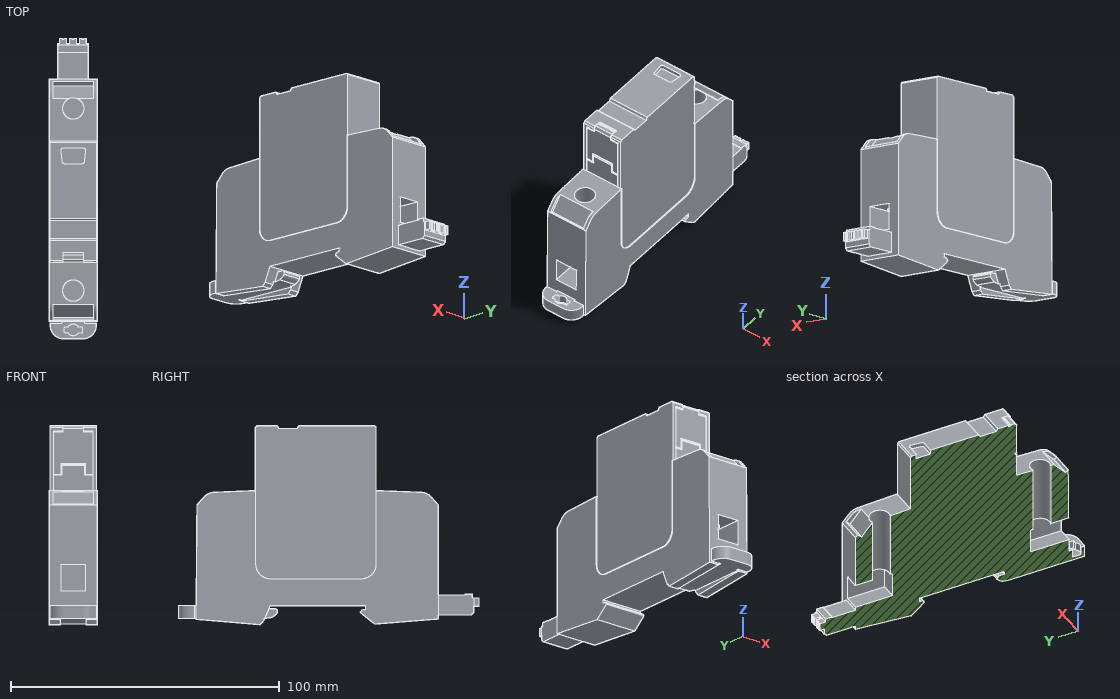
import cadquery as cq
import math

TOTAL_LENGTH = 111.9
TOTAL_HEIGHT = 74.2
BODY_WIDTH = 18.0
SEAT_DEPTH = 0.3
MODULE_WIDTH = BODY_WIDTH - 2 * SEAT_DEPTH

BODY_FRONT = 6.8
BODY_FRONT_FOOT = 6.5
BODY_BACK = 96.8
SHOULDER_HEIGHT = 44.7
RIDGE_HEIGHT = 50.0
TOP_SLOPE = 0.04
SHOULDER_ANGLE = math.radians(48)
SHOULDER_RADIUS = 5.4
RAIL_HEIGHT = 7.0
RAIL_FRONT = 34.1
RAIL_BACK = 69.6

MODULE_FRONT = 28.5
SEAT_FRONT = 28.8
MODULE_BACK = 73.7
MODULE_BOTTOM = 17.1
MODULE_CORNER_RADIUS = 5.5
MODULE_FRONT_CHAMFER = 0.7
MODULE_BACK_CHAMFER = 0.6
GRIP_FRONT = 36.7
GRIP_BACK = 44.9
GRIP_DEPTH = 1.0
GRIP_SLOPE = 0.7

WINDOW_FRONT = 65.3
WINDOW_BACK = 71.1
WINDOW_FRONT_WIDTH = 8.1
WINDOW_BACK_WIDTH = 9.5
WINDOW_RADIUS = 0.8
WINDOW_DEPTH = 1.8

PANEL_GAP = 0.3
PANEL_INSET = 0.1
GROOVE_DEPTH = 0.7
PANEL_WIDTH = 14.5
PANEL_TOP = 72.2
PANEL_BOTTOM = 49.3
TAB_WIDTH = 7.7
TAB_CHAMFER_Y = 0.9
TAB_CHAMFER_Z = 1.0
TAB_LOWERING = 0.1
TAB_BACK = 31.2
NOTCH_BACK = 32.1
NOTCH_DEPTH = 0.6
LATCH_SHOULDER = 55.7
LATCH_TOP = 59.8
LATCH_WIDTH = 8.5
LATCH_CHAMFER = 0.5

SCREW_DIAMETER = 8.0
FRONT_SCREW_Y = 18.0
BACK_SCREW_Y = 85.9
WIRE_WIDTH = 9.3
WIRE_BOTTOM = 12.5
WIRE_HEIGHT = 9.9
LABEL_WIDTH = 15.2
FRONT_LABEL_MARGIN = 0.3
FRONT_LABEL_DEPTH = 1.3
BACK_LABEL_MARGIN = 1.3
BACK_LABEL_DEPTH = 2.2

CLIP_TOP = 7.3
CLIP_BOTTOM = 2.4
CLIP_WIDTH = 8.4
CLIP_SLOT_WIDTH = 9.6
EAR_WIDTH = 17.2
EAR_BACK = 5.9
EAR_RADIUS = 5.0
EAR_HOLE_Y = 3.4
EAR_HOLE_RADIUS = 2.18
EAR_SLOT_LENGTH = 6.7
EAR_SLOT_WIDTH = 2.4
EAR_SLOT_CHAMFER = 0.5
EAR_HOLE_DEPTH = 3.4

PLUG_WIDTH = 11.4
PLUG_CENTRE = -0.1
PLUG_BACK = 110.0
PLUG_LIP_BACK = 109.5
PLUG_LIP_FRONT = 106.7
PLUG_TOP = 11.2
PLUG_LIP_TOP = 11.4
PLUG_SHELF = 10.1
PLUG_BOTTOM = 3.6
PLUG_BOTTOM_CHAMFER = 1.0
PLUG_OVERLAP = 1.1
TOOTH_COUNT = 3
TOOTH_PITCH = 3.7
TOOTH_WIDTH = 2.7
TOOTH_TOP = 10.1
TOOTH_BOTTOM = 6.8
TOOTH_NOTCH_WIDTH = 0.7
TOOTH_NOTCH_DEPTH = 0.2


def side_profile(points, width):
    """Extrude a closed (Y, Z) outline, centred on the mid-plane, to the given width in X."""
    return cq.Workplane("YZ").polyline(points).close().extrude(width / 2, both=True)


def box(x_range, y_range, z_range):
    """Block spanning the given (low, high) ranges."""
    size = [high - low for low, high in (x_range, y_range, z_range)]
    corner = cq.Vector(x_range[0], y_range[0], z_range[0])
    return cq.Workplane(cq.Solid.makeBox(*size, pnt=corner))


def centred(width):
    return (-width / 2, width / 2)


def shoulder_corner():
    """(Run along Y, rise) from a shoulder's foot to where it meets the sloping top."""
    top_height = RIDGE_HEIGHT - (MODULE_FRONT - BODY_FRONT) * TOP_SLOPE
    run = (top_height - SHOULDER_HEIGHT) / (math.tan(SHOULDER_ANGLE) - TOP_SLOPE)
    return run, run * math.tan(SHOULDER_ANGLE)


def make_body():
    run, rise = shoulder_corner()
    front_shoulder = (BODY_FRONT + run, SHOULDER_HEIGHT + rise)
    back_shoulder = (BODY_BACK - run, SHOULDER_HEIGHT + rise)
    outline = [
        (BODY_FRONT, SHOULDER_HEIGHT),
        front_shoulder,
        (MODULE_FRONT, RIDGE_HEIGHT),
        (MODULE_BACK, RIDGE_HEIGHT),
        back_shoulder,
        (BODY_BACK, SHOULDER_HEIGHT),
        (BODY_BACK, 2.1),
        (73.1, 0.2),
        (68.2, 4.1),
        (67.6, 4.7),
        (68.2, 5.5),
        (RAIL_BACK, 5.8),
        (RAIL_BACK, RAIL_HEIGHT),
        (RAIL_FRONT, RAIL_HEIGHT),
        (31.7, 1.3),
        (30.5, 0.0),
        (BODY_FRONT_FOOT, 2.0),
    ]
    body = side_profile(outline, BODY_WIDTH)
    for y, z in (front_shoulder, back_shoulder):
        nearby = cq.selectors.NearestToPointSelector((0, y, z))
        body = body.edges("|X").edges(nearby).fillet(SHOULDER_RADIUS)
    return body


def module_blank(width, front):
    """Module block with its two rounded lower corners."""
    block = box(centred(width), (front, MODULE_BACK), (MODULE_BOTTOM, TOTAL_HEIGHT))
    return block.edges("|X and <Z").fillet(MODULE_CORNER_RADIUS)


def make_module():
    module = module_blank(MODULE_WIDTH, MODULE_FRONT)
    module = module.edges("|X and >Z and <Y").chamfer(MODULE_FRONT_CHAMFER)
    module = module.edges("|X and >Z and >Y").chamfer(MODULE_BACK_CHAMFER)
    grip_floor = TOTAL_HEIGHT - GRIP_DEPTH
    grip = side_profile(
        [
            (GRIP_FRONT, TOTAL_HEIGHT),
            (GRIP_FRONT + GRIP_SLOPE, grip_floor),
            (GRIP_BACK - GRIP_SLOPE, grip_floor),
            (GRIP_BACK, TOTAL_HEIGHT),
        ],
        MODULE_WIDTH,
    )
    window = (
        cq.Workplane("XY", origin=(0, 0, TOTAL_HEIGHT))
        .polyline(
            [
                (-WINDOW_FRONT_WIDTH / 2, WINDOW_FRONT),
                (WINDOW_FRONT_WIDTH / 2, WINDOW_FRONT),
                (WINDOW_BACK_WIDTH / 2, WINDOW_BACK),
                (-WINDOW_BACK_WIDTH / 2, WINDOW_BACK),
            ]
        )
        .close()
        .extrude(-WINDOW_DEPTH)
        .edges("|Z")
        .fillet(WINDOW_RADIUS)
    )
    return module.cut(grip).cut(window)


def add_front_panel(module):
    """Cover and latch, set off by narrow grooves, with the cover's tab reaching the top."""
    groove_floor = MODULE_FRONT + GROOVE_DEPTH
    panel_face = MODULE_FRONT + PANEL_INSET
    opening = (MODULE_FRONT, groove_floor)
    depth = (panel_face, groove_floor)
    panel_x = centred(PANEL_WIDTH)
    tab_x = centred(TAB_WIDTH)
    recess = box(panel_x, opening, (PANEL_BOTTOM, PANEL_TOP))
    tab_recess = box(tab_x, opening, (PANEL_BOTTOM, TOTAL_HEIGHT))
    notch = box(tab_x, (MODULE_FRONT, NOTCH_BACK), (TOTAL_HEIGHT - NOTCH_DEPTH, TOTAL_HEIGHT))

    foot = box(panel_x, depth, (PANEL_BOTTOM, LATCH_SHOULDER))
    tongue = box(centred(LATCH_WIDTH), depth, (PANEL_BOTTOM, LATCH_TOP))
    tongue = tongue.edges("|X and >Z and <Y").chamfer(LATCH_CHAMFER)
    latch = foot.union(tongue)

    cover = box(panel_x, depth, (LATCH_SHOULDER + PANEL_GAP, PANEL_TOP - PANEL_GAP))
    clearance = centred(LATCH_WIDTH + 2 * PANEL_GAP)
    cover = cover.cut(box(clearance, depth, (PANEL_BOTTOM, LATCH_TOP + PANEL_GAP)))

    tab_bottom = LATCH_TOP + 2 * PANEL_GAP
    tab_top = TOTAL_HEIGHT - TAB_LOWERING
    tab = side_profile(
        [
            (panel_face, tab_bottom),
            (panel_face, tab_top - TAB_CHAMFER_Z),
            (panel_face + TAB_CHAMFER_Y, tab_top),
            (TAB_BACK, tab_top),
            (TAB_BACK, tab_bottom),
        ],
        TAB_WIDTH,
    )
    return module.cut(recess).cut(tab_recess).cut(notch).union(latch).union(cover).union(tab)


def label_recess(foot_y, inward, margin, depth):
    """Recess along a shoulder, open towards the top; inward is +1 or -1 along Y."""

    def on_shoulder(along, below):
        """Point at a distance up the shoulder's face from its foot, and a depth beneath the face."""
        across = along * math.cos(SHOULDER_ANGLE) + below * math.sin(SHOULDER_ANGLE)
        up = along * math.sin(SHOULDER_ANGLE) - below * math.cos(SHOULDER_ANGLE)
        return (foot_y + inward * across, SHOULDER_HEIGHT + up)

    far_end = margin + 2 * math.hypot(*shoulder_corner())
    outline = [
        on_shoulder(margin, -depth),
        on_shoulder(margin, depth),
        on_shoulder(far_end, depth),
        on_shoulder(far_end, -depth),
    ]
    return side_profile(outline, LABEL_WIDTH)


def terminal(screw_y, face_y):
    """Screw hole from above, running into a square wire pocket open at the end face."""
    pocket_end = screw_y + math.copysign(WIRE_WIDTH / 2, screw_y - face_y)
    pocket = box(
        centred(WIRE_WIDTH), sorted((pocket_end, face_y)), (WIRE_BOTTOM, WIRE_BOTTOM + WIRE_HEIGHT)
    )
    shaft_bottom = WIRE_BOTTOM + WIRE_HEIGHT / 2
    shaft = (
        cq.Workplane("XY", origin=(0, screw_y, shaft_bottom))
        .circle(SCREW_DIAMETER / 2)
        .extrude(RIDGE_HEIGHT - shaft_bottom)
    )
    return pocket.union(shaft)


def make_clip():
    """Sliding rail clip: hook under the front foot and a pull ear in front of the body."""
    hook = side_profile(
        [
            (EAR_HOLE_Y, CLIP_BOTTOM),
            (EAR_HOLE_Y, CLIP_TOP),
            (33.6, CLIP_TOP),
            (33.9, 6.0),
            (36.3, 6.0),
            (36.8, 5.5),
            (36.8, 4.4),
            (35.9, 3.5),
            (34.7, 2.7),
            (32.1, CLIP_BOTTOM),
        ],
        CLIP_WIDTH,
    )
    ear = box(centred(EAR_WIDTH), (0, EAR_BACK), (CLIP_BOTTOM, CLIP_TOP))
    ear = ear.edges("|Z and <Y").fillet(EAR_RADIUS)
    slot = box(
        centred(EAR_SLOT_LENGTH),
        (EAR_HOLE_Y - EAR_SLOT_WIDTH / 2, EAR_HOLE_Y + EAR_SLOT_WIDTH / 2),
        (CLIP_TOP - EAR_HOLE_DEPTH, CLIP_TOP),
    )
    slot = slot.edges("|Z and <X").chamfer(EAR_SLOT_CHAMFER)
    hole = (
        cq.Workplane("XY", origin=(0, EAR_HOLE_Y, CLIP_TOP))
        .circle(EAR_HOLE_RADIUS)
        .extrude(-EAR_HOLE_DEPTH)
    )
    return hook.union(ear).cut(slot).cut(hole)


def make_plug():
    """Signalling plug with a raised lip on top and notched teeth on its back."""
    front = BODY_BACK - PLUG_OVERLAP
    plug = side_profile(
        [
            (front, PLUG_BOTTOM),
            (front, PLUG_TOP),
            (PLUG_LIP_FRONT, PLUG_TOP),
            (PLUG_LIP_FRONT, PLUG_LIP_TOP),
            (PLUG_LIP_BACK, PLUG_LIP_TOP),
            (PLUG_LIP_BACK, PLUG_SHELF),
            (PLUG_BACK, PLUG_SHELF),
            (PLUG_BACK, PLUG_BOTTOM + PLUG_BOTTOM_CHAMFER),
            (PLUG_BACK - PLUG_BOTTOM_CHAMFER, PLUG_BOTTOM),
        ],
        PLUG_WIDTH,
    )
    height = (TOOTH_BOTTOM, TOOTH_TOP)
    for index in range(TOOTH_COUNT):
        x = (index - (TOOTH_COUNT - 1) / 2) * TOOTH_PITCH
        tooth = box(
            (x - TOOTH_WIDTH / 2, x + TOOTH_WIDTH / 2), (PLUG_LIP_FRONT, TOTAL_LENGTH), height
        )
        notch = box(
            (x - TOOTH_NOTCH_WIDTH / 2, x + TOOTH_NOTCH_WIDTH / 2),
            (TOTAL_LENGTH - TOOTH_NOTCH_DEPTH, TOTAL_LENGTH),
            height,
        )
        plug = plug.union(tooth.cut(notch))
    return plug.translate((PLUG_CENTRE, 0, 0))


module_space = module_blank(BODY_WIDTH, SEAT_FRONT)
clip_slot = box(centred(CLIP_SLOT_WIDTH), (0, RAIL_FRONT), (0, CLIP_BOTTOM))
base = make_body().cut(module_space).cut(clip_slot)
base = base.cut(label_recess(BODY_FRONT, 1, FRONT_LABEL_MARGIN, FRONT_LABEL_DEPTH))
base = base.cut(label_recess(BODY_BACK, -1, BACK_LABEL_MARGIN, BACK_LABEL_DEPTH))
base = base.cut(terminal(FRONT_SCREW_Y, BODY_FRONT_FOOT))
base = base.cut(terminal(BACK_SCREW_Y, BODY_BACK))

module = add_front_panel(make_module())
result = base.union(module).union(make_clip()).union(make_plug())